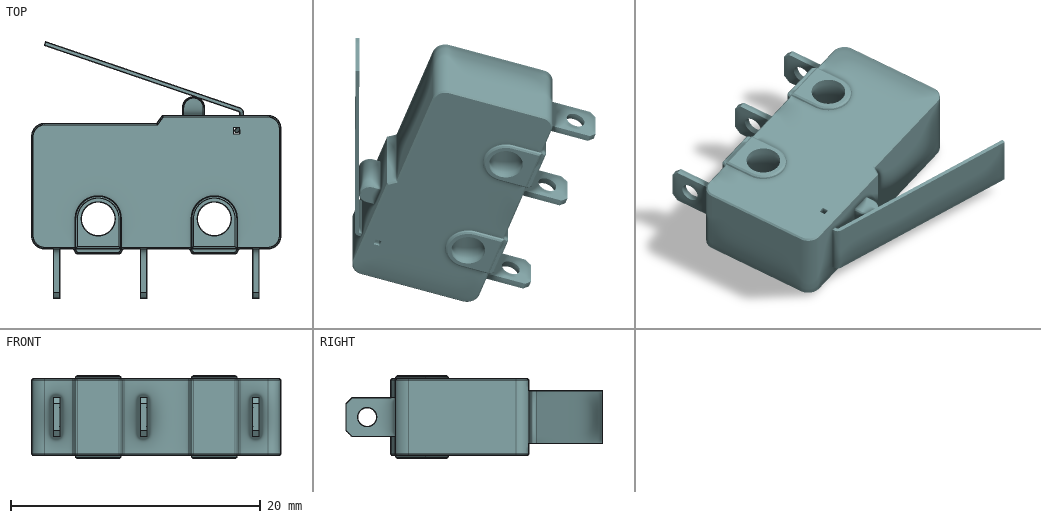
import cadquery as cq
import math


housing_width = 20.0
housing_height = 10.7
shoulder_height = 10.07
housing_thickness = 6.2
corner_radius = 1.05
edge_chamfer = 0.12
step_top_x = 0.5
step_run = 0.45

hole_xs = (-4.65, 4.65)
hole_y = 2.4
hole_diameter = 2.7
overall_thickness = 6.65
pad_radius = 1.85
pad_draft = 20.0
pad_chamfer = 0.1
rib_height = 0.4
rib_face_half_width = 1.77
rib_base_half_width = 1.98
rib_fillet = 0.16

window_x = 6.45
window_y = 9.47
window_size = 0.5

terminal_xs = (-7.99, -1.0, 7.99)
terminal_length = 3.97
terminal_width = 3.13
terminal_thickness = 0.51
terminal_chamfer = 0.5
terminal_hole_diameter = 1.5
terminal_hole_inset = 1.7

lever_thickness = 0.3
lever_width = 4.26
lever_angle = 18.8
lever_tip_x = -8.87
lever_tip_y = 16.62
leg_outer_x = 7.0
bend_inner_radius = 0.16

plunger_x = 2.99
plunger_radius = 0.89
plunger_width = 3.6
plunger_chamfer = 0.1

slope = math.radians(lever_angle)


def rib_outline(hole_x):
    """Points of one rib along the terminal side, in order of increasing X."""
    return [
        (hole_x - rib_base_half_width, 0),
        (hole_x - rib_face_half_width, -rib_height),
        (hole_x + rib_face_half_width, -rib_height),
        (hole_x + rib_base_half_width, 0),
    ]


def make_case():
    """Main block with its two ribs; only the top and bottom rims are chamfered."""
    half_width = housing_width / 2
    ribs = [point for hole_x in hole_xs for point in rib_outline(hole_x)]
    outline = [(-half_width, 0)] + ribs + [
        (half_width, 0),
        (half_width, housing_height),
        (step_top_x, housing_height),
        (step_top_x - step_run, shoulder_height),
        (-half_width, shoulder_height),
    ]
    case = cq.Workplane("XY").polyline(outline).close().extrude(housing_thickness / 2, both=True)
    case = case.edges("|Z and (<X or >X)").fillet(corner_radius)
    for x, y in ribs:
        case = case.edges("|Z").edges(cq.selectors.NearestToPointSelector((x, y, 0))).fillet(rib_fillet)
    return case.faces("<Z or >Z").edges().chamfer(edge_chamfer)


def pad_sketch(hole_x, z):
    """Arch-shaped pad outline around a mounting hole, on a plane at height z."""
    return (
        cq.Workplane("XY", origin=(0, 0, z))
        .moveTo(hole_x - pad_radius, 0)
        .lineTo(hole_x + pad_radius, 0)
        .lineTo(hole_x + pad_radius, hole_y)
        .threePointArc((hole_x, hole_y + pad_radius), (hole_x - pad_radius, hole_y))
        .close()
    )


def make_pad(hole_x):
    """Arch-shaped slab whose drafted, chamfered ends stand proud of the case."""
    half_thickness = housing_thickness / 2
    pad_height = (overall_thickness - housing_thickness) / 2
    slab = pad_sketch(hole_x, 0).extrude(half_thickness, both=True)
    cap = pad_sketch(hole_x, half_thickness).extrude(pad_height, taper=pad_draft)
    cap = cap.faces(">Z").edges().chamfer(pad_chamfer)
    return slab.union(cap).union(cap.mirror("XY"))


def make_housing(lever):
    """Case with its pads, mounting holes, window and a fitted slot for the lever's leg and foot."""
    housing = make_case()
    for hole_x in hole_xs:
        housing = housing.union(make_pad(hole_x))
    holes = (
        cq.Workplane("XY")
        .pushPoints([(hole_x, hole_y) for hole_x in hole_xs])
        .circle(hole_diameter / 2)
        .extrude(overall_thickness, both=True)
    )
    window = (
        cq.Workplane("XY")
        .center(window_x, window_y)
        .rect(window_size, window_size)
        .extrude(overall_thickness, both=True)
    )
    return housing.cut(holes).cut(window).cut(lever)


def make_terminal(x):
    hole_center_y = terminal_hole_inset - terminal_length
    blade = (
        cq.Workplane("XY")
        .box(terminal_thickness, terminal_length, terminal_width)
        .edges("|X and <Y").chamfer(terminal_chamfer)
        .translate((x, -terminal_length / 2, 0))
    )
    hole = (
        cq.Workplane("YZ")
        .center(hole_center_y, 0)
        .circle(terminal_hole_diameter / 2)
        .extrude(terminal_thickness, both=True)
        .translate((x, 0, 0))
    )
    return blade.cut(hole)


def lever_top_y(x):
    """Height of the blade's upper face at x."""
    return lever_tip_y - (x - lever_tip_x) * math.tan(slope)


def lever_bottom_y(x):
    """Height of the blade's lower face at x."""
    return lever_top_y(x) - lever_thickness / math.cos(slope)


def make_lever_foot(knee_x, knee_y):
    """Round-ended strip from the knee of the leg to the middle of the window."""
    length = math.hypot(knee_x - window_x, knee_y - window_y)
    angle = math.degrees(math.atan2(knee_y - window_y, knee_x - window_x))
    return (
        cq.Workplane("XY")
        .center((knee_x + window_x) / 2, (knee_y + window_y) / 2)
        .slot2D(length + lever_thickness, lever_thickness, angle)
        .extrude(lever_width / 2, both=True)
    )


def make_lever():
    leg_inner_x = leg_outer_x - lever_thickness
    knee_x = leg_outer_x - lever_thickness / 2
    knee_y = window_y + knee_x - window_x
    outline = [
        (lever_tip_x, lever_tip_y),
        (leg_outer_x, lever_top_y(leg_outer_x)),
        (leg_outer_x, knee_y),
        (leg_inner_x, knee_y),
        (leg_inner_x, lever_bottom_y(leg_inner_x)),
        (lever_tip_x - lever_thickness * math.sin(slope), lever_tip_y - lever_thickness * math.cos(slope)),
    ]
    lever = cq.Workplane("XY").polyline(outline).close().extrude(lever_width / 2, both=True)
    outer_corner = cq.selectors.NearestToPointSelector((*outline[1], 0))
    inner_corner = cq.selectors.NearestToPointSelector((*outline[4], 0))
    lever = lever.edges("|Z").edges(outer_corner).fillet(bend_inner_radius + lever_thickness)
    lever = lever.edges("|Z").edges(inner_corner).fillet(bend_inner_radius)
    return lever.union(make_lever_foot(knee_x, knee_y))


def make_plunger():
    """Round-nosed button whose nose is tangent to the lever's lower face."""
    nose_center_y = lever_bottom_y(plunger_x) - plunger_radius / math.cos(slope)
    return (
        cq.Workplane("XY")
        .moveTo(plunger_x - plunger_radius, housing_height)
        .lineTo(plunger_x + plunger_radius, housing_height)
        .lineTo(plunger_x + plunger_radius, nose_center_y)
        .threePointArc(
            (plunger_x, nose_center_y + plunger_radius),
            (plunger_x - plunger_radius, nose_center_y),
        )
        .close()
        .extrude(plunger_width / 2, both=True)
        .faces("<Z or >Z").edges("not <Y").chamfer(plunger_chamfer)
    )


lever = make_lever()
housing = make_housing(lever)
plunger = make_plunger()
terminals = [make_terminal(x) for x in terminal_xs]

result = cq.Compound.makeCompound(
    [housing.val(), lever.val(), plunger.val()] + [terminal.val() for terminal in terminals]
)